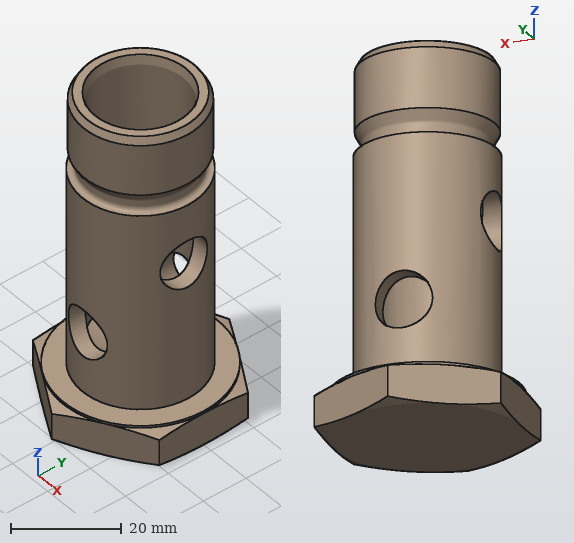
import cadquery as cq
import math

total_height = 72.0

across_flats = 36.0
head_height = 8.0
collar_height = 0.5
corner_angle = math.radians(15)

shank_radius = 26.9 / 2
shank_top = 54.0
groove_radius = 23.9 / 2
groove_fillet = 1.0
thread_radius = 26.4 / 2
runout_start = 58.75
runout_angle = math.radians(30)
thread_chamfer_height = 1.5
thread_chamfer_width = 0.9

bore_radius = 20.0 / 2
bore_floor = 14.0
drill_half_angle = math.radians(59)
mouth_radius = 10.5
mouth_depth = 2.0

cross_hole_diameter = 11.0
lower_hole_height = 22.0
upper_hole_height = 40.0


def make_head():
    """Hexagon with corners along Y, trimmed by shallow cones at both ends."""
    flat_radius = across_flats / 2
    corner_radius = across_flats / math.sqrt(3)
    corner_drop = (corner_radius - flat_radius) * math.tan(corner_angle)
    hexagon = (
        cq.Workplane("XY")
        .polygon(6, 2 * corner_radius)
        .extrude(head_height)
        .rotate((0, 0, 0), (0, 0, 1), 30)
    )
    cone_top = head_height - collar_height
    envelope = (
        cq.Workplane("XZ")
        .lineTo(flat_radius, 0)
        .lineTo(corner_radius, corner_drop)
        .lineTo(corner_radius, cone_top - corner_drop)
        .lineTo(flat_radius, cone_top)
        .lineTo(flat_radius, head_height)
        .lineTo(0, head_height)
        .close()
        .revolve(360, (0, 0), (0, 1))
    )
    return hexagon.intersect(envelope)


def make_shank():
    """Revolved shank with a rounded undercut below the thread cylinder."""
    arc_center_radius = groove_radius + groove_fillet
    groove_bottom = shank_top + groove_fillet
    runout_arc_radius = arc_center_radius - groove_fillet * math.cos(runout_angle)
    runout_end = runout_start - (thread_radius - runout_arc_radius) / math.tan(runout_angle)
    groove_top = runout_end - groove_fillet * math.sin(runout_angle)

    def fillet_point(center_height, angle):
        return (
            arc_center_radius - groove_fillet * math.cos(angle),
            center_height + groove_fillet * math.sin(angle),
        )

    return (
        cq.Workplane("XZ")
        .lineTo(shank_radius, 0)
        .lineTo(shank_radius, shank_top)
        .lineTo(arc_center_radius, shank_top)
        .threePointArc(fillet_point(groove_bottom, -math.pi / 4), (groove_radius, groove_bottom))
        .lineTo(groove_radius, groove_top)
        .threePointArc(
            fillet_point(groove_top, runout_angle / 2),
            (runout_arc_radius, runout_end),
        )
        .lineTo(thread_radius, runout_start)
        .lineTo(thread_radius, total_height - thread_chamfer_height)
        .lineTo(thread_radius - thread_chamfer_width, total_height)
        .lineTo(0, total_height)
        .close()
        .revolve(360, (0, 0), (0, 1))
    )


def make_bore():
    """Blind drilled bore with a conical floor and a slightly tapered mouth."""
    cone_depth = bore_radius / math.tan(drill_half_angle)
    return (
        cq.Workplane("XZ")
        .moveTo(0, bore_floor - cone_depth)
        .lineTo(bore_radius, bore_floor)
        .lineTo(bore_radius, total_height - mouth_depth)
        .lineTo(mouth_radius, total_height)
        .lineTo(0, total_height)
        .close()
        .revolve(360, (0, 0), (0, 1))
    )


def make_cross_hole(plane, height):
    """Drill running through both walls, normal to the given plane."""
    return (
        cq.Workplane(plane)
        .center(0, height)
        .circle(cross_hole_diameter / 2)
        .extrude(across_flats / 2, both=True)
    )


result = make_head().union(make_shank()).cut(make_bore())
for plane, height in (("XZ", lower_hole_height), ("YZ", upper_hole_height)):
    result = result.cut(make_cross_hole(plane, height))